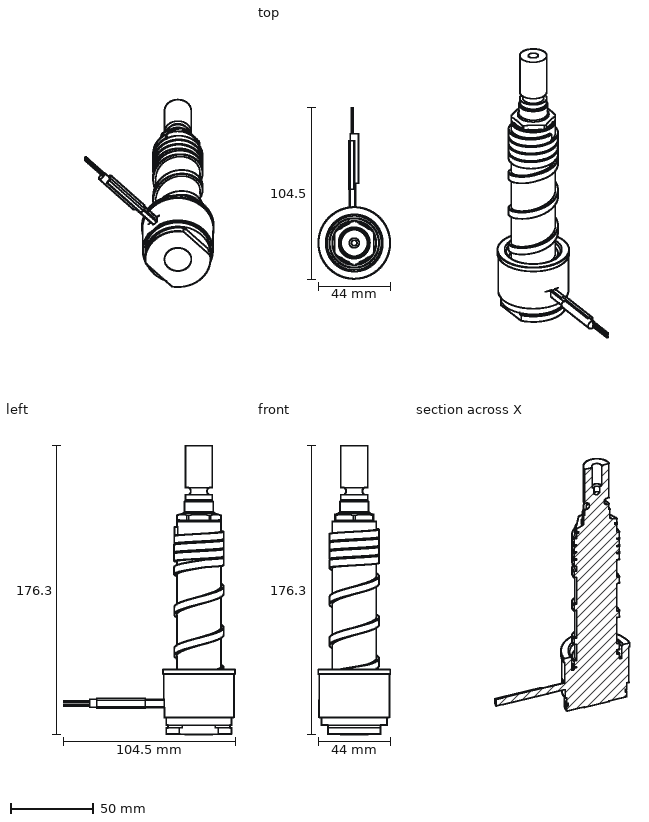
import cadquery as cq
import math


pad_radius = 8.2
pad_height = 0.4
foot_radius = 20.0
foot_groove_radius = 19.0
foot_groove_bottom = 4.4
foot_groove_top = 6.0
foot_flat_width = 32.2
foot_chamfer = 0.3

housing_bottom = 10.5
housing_radius = 21.5
housing_edge_chamfer = 0.4
rim_bottom = 37.0
rim_radius = 22.0
rim_chamfer = 0.3
housing_top = 40.0
recess_radius = 16.5
recess_mouth_radius = 17.5
recess_depth = 10.0
cable_flat_distance = 21.0

tube_radius = 13.5
tube_top = 130.3
tube_chamfer = 0.4
nut_seat_radius = 12.0
nut_bottom = 131.0
nut_top = 135.1
nut_across_flats = 24.0
nut_corner_radius = 13.5
nut_cone_drop = 1.2
sleeve_radius = 8.8
sleeve_flare = 0.8
sleeve_top = 142.3
sleeve_chamfer = 0.3
ring_groove_radius = 8.0
ring_groove_height = 0.9
collar_radius = 8.25
collar_top = 146.4
neck_radius = 5.0
neck_flare = 1.4
shaft_radius = 8.25
shaft_bottom = 150.7
overall_height = 176.3

bore_radius = 3.0
bore_depth = 15.0
pilot_radius = 1.7
pilot_depth = 20.0
drill_point_angle = 118.0

band_outer_radius = 15.2
band_root_radius = 13.0
band_height = 4.9
band_chamfer = 0.3
open_pitch = 25.0
close_pitch = 5.3
ease_pitch = (open_pitch + close_pitch) / 2
ease_angle = 124.0
ease_turns = ease_angle / 360
open_start_angle = 305.0
open_start_z = 40.6
open_turns = 2.35
upper_close_turns = 3.75
lower_close_turns = 1.3

cable_axis_x = -1.3
cable_axis_z = 19.3
cable_root_y = 18.0
cable_left_half_width = 1.6
cable_right_half_width = 2.1
cable_half_height = 2.6
cable_chamfer = 0.6
clamp_start_y = 32.6
clamp_length = 29.7
clamp_half_width = 2.1
clamp_half_height = 3.1
clamp_chamfer = 1.1
ferrule_axis_x = 0.1
ferrule_radius = 2.55
ferrule_start_y = 36.3
ferrule_length = 30.3
wire_radius = 0.6
wire_spacing = 2.2
wire_end_y = 82.5


def cylinder(radius, bottom, top):
    """Solid cylinder on the main axis between two heights."""
    return cq.Workplane("XY").workplane(offset=bottom).circle(radius).extrude(top - bottom)


def make_foot():
    disc = cylinder(foot_radius, pad_height, foot_groove_bottom).faces("<Z").chamfer(foot_chamfer)
    neck = cylinder(foot_groove_radius, foot_groove_bottom, foot_groove_top)
    flats = cq.Workplane("XY").box(
        foot_flat_width, 2 * foot_radius, foot_groove_top, centered=(True, True, False)
    )
    return disc.union(neck).intersect(flats).union(cylinder(pad_radius, 0, foot_groove_top))


def make_housing():
    base = cylinder(foot_radius, foot_groove_top, housing_bottom)
    cup = cylinder(housing_radius, housing_bottom, rim_bottom)
    cup = cup.faces("<Z").chamfer(housing_edge_chamfer)
    rim = cylinder(rim_radius, rim_bottom, housing_top).faces("<Z or >Z").chamfer(rim_chamfer)
    mouth_depth = recess_mouth_radius - recess_radius
    recess = (
        cq.Workplane("XZ")
        .moveTo(0, housing_top - recess_depth)
        .lineTo(recess_radius, housing_top - recess_depth)
        .lineTo(recess_radius, housing_top - mouth_depth)
        .lineTo(recess_mouth_radius, housing_top)
        .lineTo(0, housing_top)
        .close()
        .revolve(360, (0, 0, 0), (0, 1, 0))
    )
    flat_top = cable_axis_z + cable_half_height
    flat = (
        cq.Workplane("XY")
        .workplane(offset=housing_bottom)
        .center(0, cable_flat_distance + housing_radius / 2)
        .rect(2 * housing_radius, housing_radius)
        .extrude(flat_top - housing_bottom)
    )
    return base.union(cup.cut(flat)).union(rim).cut(recess)


def make_nut():
    """Hexagon with flats facing +X and -X, corners turned off and top face coned."""
    across_corners = nut_across_flats / math.cos(math.pi / 6)
    hexagon = (
        cq.Workplane("XY")
        .workplane(offset=nut_bottom)
        .transformed(rotate=(0, 0, 90))
        .polygon(6, across_corners)
        .extrude(nut_top - nut_bottom)
    )
    envelope = (
        cq.Workplane("XZ")
        .moveTo(0, nut_bottom)
        .lineTo(nut_corner_radius, nut_bottom)
        .lineTo(nut_corner_radius, nut_top - nut_cone_drop)
        .lineTo(sleeve_radius + sleeve_flare, nut_top)
        .lineTo(0, nut_top)
        .close()
        .revolve(360, (0, 0, 0), (0, 1, 0))
    )
    return hexagon.intersect(envelope)


def make_tube():
    tube = cylinder(tube_radius, housing_top - recess_depth, tube_top).faces(">Z").chamfer(tube_chamfer)
    return tube.union(cylinder(nut_seat_radius, tube_top, nut_bottom))


def make_spindle():
    """Turned profile from the nut up to the shaft end, with a hollow round neck."""
    ring_groove_top = sleeve_top + ring_groove_height
    neck_root = neck_radius + neck_flare
    turned = (
        cq.Workplane("XZ")
        .moveTo(0, nut_top)
        .lineTo(sleeve_radius + sleeve_flare, nut_top)
        .lineTo(sleeve_radius, nut_top + sleeve_flare)
        .lineTo(sleeve_radius, sleeve_top - sleeve_chamfer)
        .lineTo(sleeve_radius - sleeve_chamfer, sleeve_top)
        .lineTo(ring_groove_radius, sleeve_top)
        .lineTo(ring_groove_radius, ring_groove_top)
        .lineTo(collar_radius, ring_groove_top)
        .lineTo(collar_radius, collar_top)
        .lineTo(neck_root, collar_top)
        .threePointArc((neck_radius, (collar_top + shaft_bottom) / 2), (neck_root, shaft_bottom))
        .lineTo(shaft_radius, shaft_bottom)
        .lineTo(shaft_radius, overall_height)
        .lineTo(0, overall_height)
        .close()
        .revolve(360, (0, 0, 0), (0, 1, 0))
    )
    point_slope = math.tan(math.radians(drill_point_angle / 2))
    bore_floor = overall_height - bore_depth
    bore_cone_end = bore_floor - (bore_radius - pilot_radius) / point_slope
    pilot_floor = overall_height - pilot_depth
    bore = (
        cq.Workplane("XZ")
        .moveTo(0, pilot_floor - pilot_radius / point_slope)
        .lineTo(pilot_radius, pilot_floor)
        .lineTo(pilot_radius, bore_cone_end)
        .lineTo(bore_radius, bore_floor)
        .lineTo(bore_radius, overall_height)
        .lineTo(0, overall_height)
        .close()
        .revolve(360, (0, 0, 0), (0, 1, 0))
    )
    return turned.cut(bore)


def helical_band(pitch, turns, start_angle, start_z):
    """Right-handed band, chamfered outside, that rises from a start angle and mid-height."""
    half_height = band_height / 2
    path = cq.Wire.makeHelix(pitch, pitch * turns, band_outer_radius)
    band = (
        cq.Workplane("XZ")
        .moveTo(band_root_radius, -half_height)
        .lineTo(band_outer_radius - band_chamfer, -half_height)
        .lineTo(band_outer_radius, band_chamfer - half_height)
        .lineTo(band_outer_radius, half_height - band_chamfer)
        .lineTo(band_outer_radius - band_chamfer, half_height)
        .lineTo(band_root_radius, half_height)
        .close()
        .sweep(cq.Workplane(obj=path), isFrenet=True)
    )
    return band.rotate((0, 0, 0), (0, 0, 1), start_angle).translate((0, 0, start_z))


def make_bands():
    """Stretches of the band from bottom to top, each starting where the last one ends."""
    stretches = [
        (close_pitch, lower_close_turns),
        (ease_pitch, ease_turns),
        (open_pitch, open_turns),
        (ease_pitch, ease_turns),
        (close_pitch, upper_close_turns),
    ]
    angle = open_start_angle - 360 * (lower_close_turns + ease_turns)
    height = open_start_z - close_pitch * lower_close_turns - ease_pitch * ease_turns
    bands = []
    for pitch, turns in stretches:
        bands.append(helical_band(pitch, turns, angle, height))
        angle += 360 * turns
        height += pitch * turns
    return bands


def bar_along_y(left, right, half_height, chamfer, start_y, end_y):
    """Bar along +Y with chamfered long edges, placed about the cable axis."""
    return (
        cq.Workplane("XY")
        .box(left + right, end_y - start_y, 2 * half_height, centered=(False, False, True))
        .edges("|Y")
        .chamfer(chamfer)
        .translate((cable_axis_x - left, start_y, cable_axis_z))
    )


def rod_along_y(x, z, radius, start_y, end_y):
    """Round rod along +Y."""
    return cq.Workplane("XZ", origin=(x, start_y, z)).circle(radius).extrude(start_y - end_y)


def make_cable():
    clamp_end_y = clamp_start_y + clamp_length
    ferrule_end_y = ferrule_start_y + ferrule_length
    cable = bar_along_y(
        cable_left_half_width, cable_right_half_width, cable_half_height, cable_chamfer,
        cable_root_y, clamp_start_y + clamp_length / 2,
    )
    clamp = bar_along_y(
        clamp_half_width, clamp_half_width, clamp_half_height, clamp_chamfer,
        clamp_start_y, clamp_end_y,
    )
    ferrule = rod_along_y(ferrule_axis_x, cable_axis_z, ferrule_radius, ferrule_start_y, ferrule_end_y)
    cable = cable.union(clamp).union(ferrule)
    wire_start_y = (clamp_end_y + ferrule_end_y) / 2
    for side in (-1, 1):
        wire_z = cable_axis_z + side * wire_spacing / 2
        cable = cable.union(rod_along_y(cable_axis_x, wire_z, wire_radius, wire_start_y, wire_end_y))
    return cable


result = make_foot().union(make_housing()).union(make_tube()).union(make_nut()).union(make_spindle())
for band in make_bands():
    result = result.union(band)
result = result.union(make_cable())